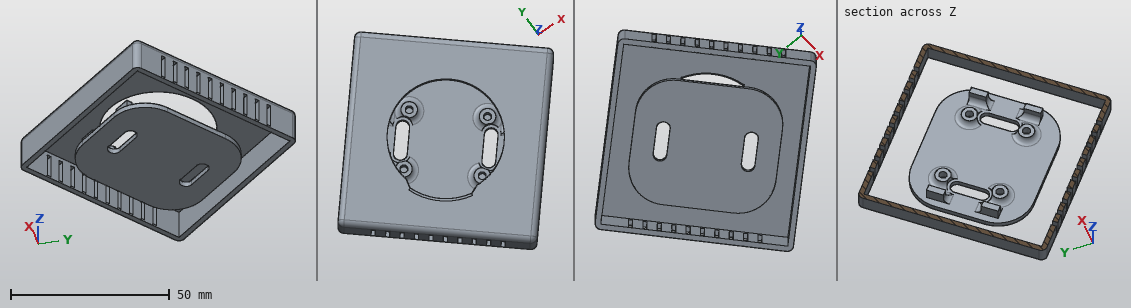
import cadquery as cq
import math

TURN_ANGLE = -41.0
TOTAL_HEIGHT = 13.8

PLATE_LENGTH = 46.7
PLATE_WIDTH = 41.0
PLATE_CORNER_RADIUS = 12.0
PLATE_THICKNESS = 1.8

BOSS_SPACING_X = 24.8
BOSS_SPACING_Y = 19.1
BOSS_DIAMETER = 5.2
BOSS_HEIGHT = 2.0
BOSS_FOOT_RADIUS = BOSS_HEIGHT
BOSS_HOLE_DIAMETER = 2.5
BOSS_HOLE_DEPTH = 3.0

MOUNT_SLOT_OFFSET = 14.0
MOUNT_SLOT_WIDTH = 4.3
MOUNT_SLOT_SPAN = 8.6
SCREW_HEAD_WIDTH = 6.3

BLOCK_INNER_X = 18.9
BLOCK_OUTER_X = 21.0
BLOCK_INNER_Y = 6.3
BLOCK_OUTER_Y = 12.0
BLOCK_HEIGHT = 4.0
BLOCK_FOOT_RADIUS = 2.0

COVER_SIDE = 63.0
COVER_HEIGHT = 12.0
COVER_BOTTOM = TOTAL_HEIGHT - COVER_HEIGHT
COVER_EDGE_RADIUS = 2.0
WALL = 1.8

OPENING_RADIUS = 18.5
NOTCH_RADIUS = 20.0
NOTCH_HALF_ANGLE = 29.0
NOTCH_FOOT_HALF_ANGLE = 37.0
NOTCH_LIP = 0.2
NOTCH_RECESS_RADIUS = 20.75
NOTCH_MIDDLE_ANGLE = -90

VENT_COUNT = 10
VENT_PITCH = 4.57
VENT_WIDTH = 1.3
VENT_HEIGHT = 8.2
VENT_BOTTOM = COVER_BOTTOM + 0.7
VENT_ROW_OFFSET = 0.35


def slot_tool(width, bottom, height):
    """Two upright slot prisms, one over each mounting slot."""
    return (
        cq.Workplane("XY")
        .workplane(offset=bottom)
        .pushPoints([(-MOUNT_SLOT_OFFSET, 0), (MOUNT_SLOT_OFFSET, 0)])
        .slot2D(MOUNT_SLOT_SPAN + width, width, 90)
        .extrude(height)
    )


def boss():
    """Boss at the origin, with a concave foot that runs out onto the plate."""
    radius = BOSS_DIAMETER / 2
    foot = radius + BOSS_FOOT_RADIUS
    sag = BOSS_FOOT_RADIUS * (1 - math.sqrt(0.5))
    return (
        cq.Workplane("XZ")
        .moveTo(0, 0)
        .lineTo(foot, 0)
        .threePointArc((radius + sag, sag), (radius, BOSS_HEIGHT))
        .lineTo(0, BOSS_HEIGHT)
        .close()
        .revolve(360, (0, 0, 0), (0, 1, 0))
        .translate((0, 0, PLATE_THICKNESS))
    )


def blocks_on(plate):
    """The plate with its four upright blocks and the fillets at their feet."""
    size_x = BLOCK_OUTER_X - BLOCK_INNER_X
    size_y = BLOCK_OUTER_Y - BLOCK_INNER_Y
    for side_x in (-1, 1):
        for side_y in (-1, 1):
            centre_x = side_x * (BLOCK_INNER_X + BLOCK_OUTER_X) / 2
            centre_y = side_y * (BLOCK_INNER_Y + BLOCK_OUTER_Y) / 2
            block = cq.Workplane("XY").box(size_x, size_y, BLOCK_HEIGHT, (True, True, False))
            plate = plate.union(block.translate((centre_x, centre_y, PLATE_THICKNESS)))

    def nearest(x, y):
        return cq.selectors.NearestToPointSelector((x, y, PLATE_THICKNESS))

    for side_x in (-1, 1):
        for side_y in (-1, 1):
            inner = nearest(side_x * BLOCK_INNER_X, side_y * (BLOCK_INNER_Y + BLOCK_OUTER_Y) / 2)
            end = nearest(side_x * (BLOCK_INNER_X + BLOCK_OUTER_X) / 2, side_y * BLOCK_INNER_Y)
            edges = plate.edges(inner).add(plate.edges(end))
            plate = edges.fillet(BLOCK_FOOT_RADIUS)
    return plate


def mounting_plate():
    plate = (
        cq.Workplane("XY")
        .rect(PLATE_LENGTH, PLATE_WIDTH)
        .extrude(PLATE_THICKNESS)
        .edges("|Z")
        .fillet(PLATE_CORNER_RADIUS)
    )
    plate = blocks_on(plate)
    boss_points = [
        (side_x * BOSS_SPACING_X / 2, side_y * BOSS_SPACING_Y / 2)
        for side_x in (-1, 1)
        for side_y in (-1, 1)
    ]
    for x, y in boss_points:
        plate = plate.union(boss().translate((x, y, 0)))
    boss_top = PLATE_THICKNESS + BOSS_HEIGHT
    boss_holes = (
        cq.Workplane("XY")
        .workplane(offset=boss_top - BOSS_HOLE_DEPTH)
        .pushPoints(boss_points)
        .circle(BOSS_HOLE_DIAMETER / 2)
        .extrude(BOSS_HOLE_DEPTH)
    )
    head_room = slot_tool(SCREW_HEAD_WIDTH, PLATE_THICKNESS, BOSS_HEIGHT)
    mount_slots = slot_tool(MOUNT_SLOT_WIDTH, 0, PLATE_THICKNESS)
    return plate.cut(boss_holes).cut(head_room).cut(mount_slots)


def on_circle(radius, angle):
    angle = math.radians(angle)
    return (radius * math.cos(angle), radius * math.sin(angle))


def opening():
    middle = NOTCH_MIDDLE_ANGLE
    return (
        cq.Workplane("XY")
        .workplane(offset=COVER_BOTTOM)
        .moveTo(*on_circle(OPENING_RADIUS, middle + NOTCH_FOOT_HALF_ANGLE))
        .threePointArc(
            on_circle(OPENING_RADIUS, middle + 180),
            on_circle(OPENING_RADIUS, middle - NOTCH_FOOT_HALF_ANGLE),
        )
        .lineTo(*on_circle(NOTCH_RADIUS, middle - NOTCH_HALF_ANGLE))
        .threePointArc(
            on_circle(NOTCH_RADIUS, middle),
            on_circle(NOTCH_RADIUS, middle + NOTCH_HALF_ANGLE),
        )
        .close()
        .extrude(COVER_HEIGHT)
    )


def notch_recess():
    """Recess under the widened edge, leaving a thin lip at the top of the cover."""
    lip_bottom = TOTAL_HEIGHT - NOTCH_LIP
    roof_bottom = TOTAL_HEIGHT - WALL
    return (
        cq.Workplane("XZ")
        .moveTo(OPENING_RADIUS, roof_bottom)
        .lineTo(NOTCH_RECESS_RADIUS, roof_bottom)
        .lineTo(NOTCH_RECESS_RADIUS, lip_bottom)
        .lineTo(OPENING_RADIUS, lip_bottom)
        .close()
        .revolve(2 * NOTCH_HALF_ANGLE, (0, 0, 0), (0, 1, 0))
        .rotate((0, 0, 0), (0, 0, 1), NOTCH_MIDDLE_ANGLE - NOTCH_HALF_ANGLE)
    )


def vents():
    return (
        cq.Workplane("XY")
        .workplane(offset=VENT_BOTTOM)
        .center(VENT_ROW_OFFSET, 0)
        .rarray(VENT_PITCH, 1, VENT_COUNT, 1)
        .rect(VENT_WIDTH, COVER_SIDE)
        .extrude(VENT_HEIGHT)
    )


def cover():
    inner_side = COVER_SIDE - 2 * WALL
    shell = (
        cq.Workplane("XY")
        .workplane(offset=COVER_BOTTOM)
        .rect(COVER_SIDE, COVER_SIDE)
        .extrude(COVER_HEIGHT)
        .edges("|Z or >Z")
        .fillet(COVER_EDGE_RADIUS)
    )
    cavity = (
        cq.Workplane("XY")
        .workplane(offset=COVER_BOTTOM)
        .rect(inner_side, inner_side)
        .extrude(COVER_HEIGHT - WALL)
    )
    return shell.cut(cavity).cut(opening()).cut(notch_recess()).cut(vents())


def turned(body):
    return body.rotate((0, 0, 0), (0, 0, 1), TURN_ANGLE)


result = cq.Compound.makeCompound([turned(mounting_plate()).val(), turned(cover()).val()])